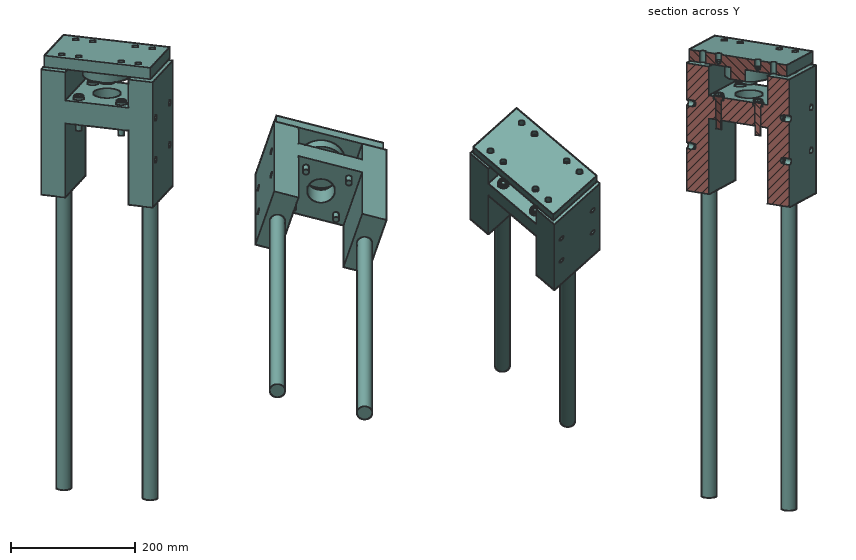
import cadquery as cq
import math

total_height = 758.0

housing_width = 189.0
housing_depth = 105.0
housing_height = 215.0
leg_width = 41.0
crossbar_height = 39.5
crossbar_drop = 48.5
crossbar_hole_diameter = 45.0

plate_width = 180.0
plate_depth = 100.0
plate_height = 20.0
plate_gap = 4.0
rod_diameter = 25.0
rod_spacing = 146.0
coupling_diameter = 78.0
coupling_height = 20.0
spigot_diameter = 25.0
spigot_height = 13.0

hole_pitch = 72.0
thread_diameter = 10.0
thread_depth = 11.0
drill_diameter = 8.0
drill_depth = 14.5
drill_tip_depth = 2.0
outer_hole_diameter = 10.0
outer_hole_spacing = 129.5
side_hole_top_drop = 67.0

screw_diameter = 10.0
screw_head_diameter = 16.0
screw_head_height = 10.0
screw_head_exposed = 5.0
screw_head_chamfer = 1.5
screw_tail_length = 15.0
socket_width = 8.0
socket_depth = 4.5
counterbore_diameter = 18.0

plate_bottom = total_height - plate_height
housing_top = plate_bottom - plate_gap
housing_bottom = housing_top - housing_height
crossbar_top = housing_top - crossbar_drop
crossbar_bottom = crossbar_top - crossbar_height
screw_seat = crossbar_top + screw_head_exposed - screw_head_height
screw_top = screw_seat + screw_head_height


def level(z):
    """Horizontal workplane at height z."""
    return cq.Workplane("XY", origin=(0, 0, z))


def cylinder_up(z, height, diameter, points):
    """Vertical cylinders that rise from height z at the given XY points."""
    return level(z).pushPoints(points).circle(diameter / 2).extrude(height)


def hole_grid(spacing_x, spacing_y):
    """The four corners of a centred rectangle."""
    return [(sx * spacing_x / 2, sy * spacing_y / 2) for sx in (-1, 1) for sy in (-1, 1)]


axis_point = [(0, 0)]
rod_points = [(-rod_spacing / 2, 0), (rod_spacing / 2, 0)]
screw_points = hole_grid(hole_pitch, hole_pitch)
outer_points = hole_grid(outer_hole_spacing, hole_pitch)


def tapped_hole():
    """Cutting tool for a blind tapped hole that goes down from the origin."""
    thread_radius = thread_diameter / 2
    drill_radius = drill_diameter / 2
    half_profile = [
        (0, 0),
        (thread_radius, 0),
        (thread_radius, -thread_depth),
        (drill_radius, -thread_depth),
        (drill_radius, -drill_depth),
        (0, -drill_depth - drill_tip_depth),
    ]
    return cq.Workplane("XZ").polyline(half_profile).close().revolve(360, (0, 0), (0, 1))


def cut_side_holes(body):
    """Tapped holes in the outer faces of both legs."""
    pattern_z = housing_top - side_hole_top_drop - hole_pitch / 2
    left_tool = tapped_hole().rotate((0, 0, 0), (0, 1, 0), -90)
    for y, z in hole_grid(hole_pitch, hole_pitch):
        left_hole = left_tool.translate((-housing_width / 2, y, pattern_z + z))
        body = body.cut(left_hole).cut(left_hole.mirror("YZ"))
    return body


def make_housing():
    opening_width = housing_width - 2 * leg_width
    block = level(housing_bottom).rect(housing_width, housing_depth).extrude(housing_height)
    upper_opening = level(crossbar_top).rect(opening_width, housing_depth).extrude(crossbar_drop)
    lower_opening = level(housing_bottom).rect(opening_width, housing_depth)
    lower_opening = lower_opening.extrude(crossbar_bottom - housing_bottom)
    body = block.cut(upper_opening).cut(lower_opening)
    body = body.cut(cylinder_up(crossbar_bottom, crossbar_height, crossbar_hole_diameter, axis_point))
    body = body.cut(cylinder_up(housing_bottom, housing_height, rod_diameter, rod_points))
    body = body.cut(cylinder_up(crossbar_bottom, crossbar_height, screw_diameter, screw_points))
    body = body.cut(cylinder_up(screw_seat, screw_head_height, counterbore_diameter, screw_points))
    return cut_side_holes(body)


def make_moving_head():
    body = level(plate_bottom).rect(plate_width, plate_depth).extrude(plate_height)
    for x, y in screw_points:
        body = body.cut(tapped_hole().translate((x, y, total_height)))
    body = body.cut(cylinder_up(plate_bottom, plate_height, outer_hole_diameter, outer_points))
    coupling_bottom = plate_bottom - coupling_height
    spigot_bottom = coupling_bottom - spigot_height
    body = body.union(cylinder_up(coupling_bottom, coupling_height, coupling_diameter, axis_point))
    body = body.union(cylinder_up(spigot_bottom, spigot_height, spigot_diameter, axis_point))
    return body.union(cylinder_up(0, plate_bottom, rod_diameter, rod_points))


def make_screw(point):
    shank_bottom = crossbar_bottom - screw_tail_length
    body = cylinder_up(shank_bottom, screw_seat - shank_bottom, screw_diameter, [point])
    head = cylinder_up(screw_seat, screw_head_height, screw_head_diameter, [point])
    body = body.union(head.faces(">Z").chamfer(screw_head_chamfer))
    corner_diameter = socket_width / math.cos(math.pi / 6)
    socket = level(screw_top - socket_depth).pushPoints([point]).polygon(6, corner_diameter)
    return body.cut(socket.extrude(socket_depth))


housing = make_housing()
moving_head = make_moving_head()
screws = [make_screw(point) for point in screw_points]

result = cq.Compound.makeCompound(
    [housing.val(), moving_head.val(), *[screw.val() for screw in screws]]
)